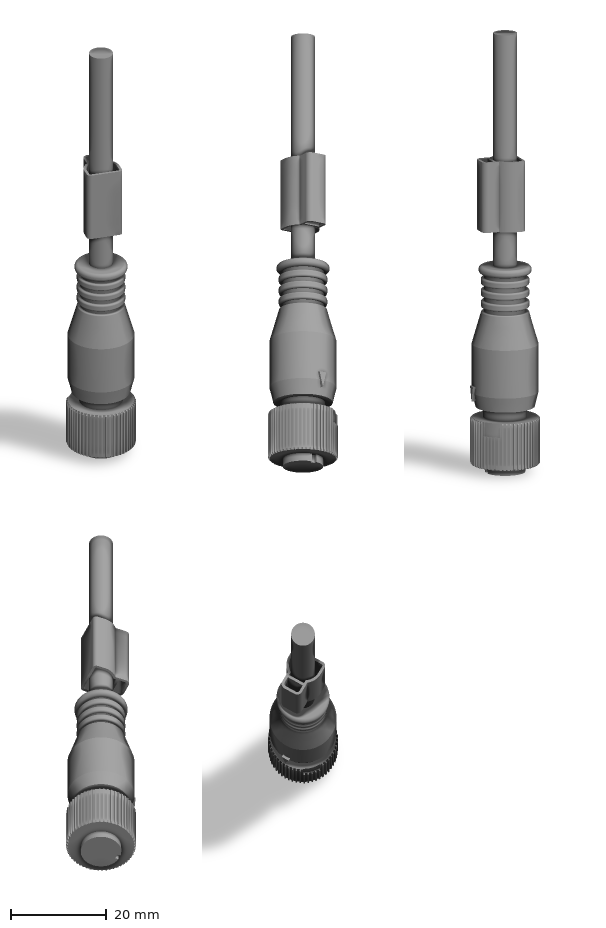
import cadquery as cq

total_height = 94.0

cable_diameter = 5.0
cable_radius = cable_diameter / 2

nose_radius = 4.2
neck_radius = 4.6
key_width = 1.1
key_depth = 0.75

nut_diameter = 14.6
nut_radius = nut_diameter / 2
nut_bottom = 1.7
nut_top = 11.75
nut_chamfer = 0.3
flute_count = 54
flute_depth = 0.4
flute_width = 0.6
window_width = 3.7
window_bottom = 8.7
window_depth = 0.5
window_radius = nut_radius - window_depth

grip_bottom = 14.0
grip_top = 44.2
grip_diameter = 14.0
grip_radius = grip_diameter / 2
grip_bottom_radius = 6.2
lower_cone_top = 17.2
upper_cone_bottom = 27.45
upper_cone_top = 34.4
shoulder_radius = 5.0
shoulder_rounding = 0.3
relief_radius = 4.4
rib_radius = 5.1
rib_count = 3
rib_pitch = 2.4
rib_height = 1.5
rib_rounding = 0.4
lowest_rib_middle = 36.0
rim_radius = 5.5
rim_height = 1.7
rim_rounding = 0.75

mark_angle = 135.0
arrow_reach = 7.5
arrow_width = 1.7
arrow_bottom = 15.6
arrow_top = 18.8

marker_bottom = 52.0
marker_height = 15.0
marker_wall = 0.6
sleeve_radius = 3.9
sleeve_centre = -0.75
sleeve_back = -3.2
sleeve_corner_radius = 0.8
pocket_end = 5.7
pocket_half_width = 2.35
pocket_corner_radius = 1.1
partition_inside = 2.7


def make_cable():
    return (
        cq.Workplane("XY", origin=(0, 0, grip_bottom))
        .circle(cable_radius)
        .extrude(total_height - grip_bottom)
    )


def make_insert():
    nose = cq.Workplane("XY").circle(nose_radius).extrude(nut_bottom)
    neck = (
        cq.Workplane("XY", origin=(0, 0, nut_bottom))
        .circle(neck_radius)
        .extrude(grip_bottom - nut_bottom)
    )
    keyway = (
        cq.Workplane("XY")
        .center(nose_radius, 0)
        .rect(2 * key_depth, key_width)
        .extrude(nut_bottom)
        .rotate((0, 0, 0), (0, 0, 1), mark_angle)
    )
    return nose.union(neck).cut(keyway)


def make_nut():
    height = nut_top - nut_bottom
    nut = (
        cq.Workplane("XY", origin=(0, 0, nut_bottom))
        .circle(nut_radius)
        .extrude(height)
        .edges("%CIRCLE")
        .chamfer(nut_chamfer)
    )
    half_pitch = 180 / flute_count
    flutes = (
        cq.Workplane("XY", origin=(0, 0, nut_bottom))
        .polarArray(nut_radius, half_pitch, 360, flute_count)
        .rect(2 * flute_depth, flute_width)
        .extrude(height)
    )
    bore = cq.Workplane("XY", origin=(0, 0, nut_bottom)).circle(neck_radius).extrude(height)
    return nut.cut(flutes).cut(make_window()).cut(bore)


def make_window():
    """Smooth recess in the knurling on the -X side, open at the top."""
    height = nut_top - window_bottom
    block = (
        cq.Workplane("XY", origin=(-nut_radius, 0, window_bottom))
        .rect(nut_radius, window_width)
        .extrude(height)
    )
    core = cq.Workplane("XY", origin=(0, 0, window_bottom)).circle(window_radius).extrude(height)
    return block.cut(core)


def make_grip():
    height = grip_top - grip_bottom
    shell = (
        cq.Workplane("XZ")
        .moveTo(0, grip_bottom)
        .lineTo(grip_bottom_radius, grip_bottom)
        .lineTo(grip_radius, lower_cone_top)
        .lineTo(grip_radius, upper_cone_bottom)
        .lineTo(shoulder_radius, upper_cone_top)
        .lineTo(0, upper_cone_top)
        .close()
        .revolve(360, (0, 0, 0), (0, 1, 0))
        .faces(">Z")
        .edges()
        .fillet(shoulder_rounding)
    )
    relief = cq.Workplane("XY", origin=(0, 0, grip_bottom)).circle(relief_radius).extrude(height)
    grip = shell.union(relief)
    for index in range(rib_count):
        middle = lowest_rib_middle + index * rib_pitch
        grip = grip.union(make_ring(rib_radius, middle - rib_height / 2, rib_height, rib_rounding))
    grip = grip.union(make_ring(rim_radius, grip_top - rim_height, rim_height, rim_rounding))
    bore = cq.Workplane("XY", origin=(0, 0, grip_bottom)).circle(cable_radius).extrude(height)
    return grip.union(make_arrow()).cut(bore)


def make_ring(radius, bottom, height, rounding):
    """Disc on the axis with both of its edges rounded."""
    return (
        cq.Workplane("XY", origin=(0, 0, bottom))
        .circle(radius)
        .extrude(height)
        .edges("%CIRCLE")
        .fillet(rounding)
    )


def make_arrow():
    """Raised triangle with its tip at the bottom, standing out radially from the grip."""
    root_radius = (cable_radius + grip_bottom_radius) / 2
    return (
        cq.Workplane("YZ", origin=(root_radius, 0, 0))
        .polyline([(-arrow_width / 2, arrow_top), (arrow_width / 2, arrow_top), (0, arrow_bottom)])
        .close()
        .extrude(arrow_reach - root_radius)
        .rotate((0, 0, 0), (0, 0, 1), mark_angle)
    )


def make_marker_shape(inset):
    """Prism inside the marker's outer walls, moved inwards by inset; the pocket points to +X."""
    radius = sleeve_radius - inset
    back = sleeve_back + inset
    end = pocket_end - inset
    sleeve = (
        cq.Workplane("XY", origin=(0, 0, marker_bottom))
        .moveTo(sleeve_centre, radius)
        .lineTo(back, radius)
        .lineTo(back, -radius)
        .lineTo(sleeve_centre, -radius)
        .threePointArc((sleeve_centre + radius, 0), (sleeve_centre, radius))
        .close()
        .extrude(marker_height)
        .edges("|Z and <X")
        .fillet(sleeve_corner_radius - inset)
    )
    pocket = (
        cq.Workplane("XY", origin=(end / 2, 0, marker_bottom))
        .rect(end, 2 * (pocket_half_width - inset))
        .extrude(marker_height)
        .edges("|Z and >X")
        .fillet(pocket_corner_radius - inset)
    )
    return sleeve.union(pocket)


def make_marker():
    outside = make_marker_shape(0)
    partition = (
        cq.Workplane("XY", origin=(partition_inside + marker_wall / 2, 0, marker_bottom))
        .rect(marker_wall, 2 * pocket_half_width)
        .extrude(marker_height)
    )
    openings = make_marker_shape(marker_wall).cut(partition)
    return outside.cut(openings).rotate((0, 0, 0), (0, 0, 1), mark_angle)


cable = make_cable()
insert = make_insert()
nut = make_nut()
grip = make_grip()
marker = make_marker()

result = cq.Compound.makeCompound(
    [cable.val(), insert.val(), nut.val(), grip.val(), marker.val()]
)